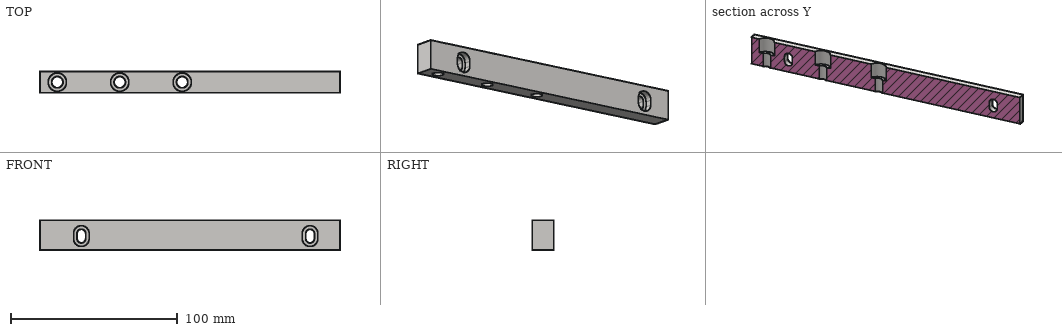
import cadquery as cq

length = 180.0
width = 13.0
height = 18.0

hole_diameter = 6.7
counterbore_diameter = 11.0
counterbore_depth = 9.0
first_hole_x = 10.5
hole_spacing = 37.5
hole_count = 3

slot_width = 5.0
slot_height = 8.1
slot_rim = 2.2
slot_recess_depth = 4.7
slot_positions_x = (24.8, 162.0)
slot_center_z = 8.5


def upright_slot(x, slot_w, slot_h, depth):
    """Rounded slot standing along Z, running from the front face into the bar."""
    return (
        cq.Workplane("XZ")
        .center(x, slot_center_z)
        .slot2D(slot_h, slot_w, 90)
        .extrude(-depth)
    )


def stepped_slot(x):
    """Through slot with a wider recess of the same form at the front face."""
    recess_width = slot_width + 2 * slot_rim
    recess_height = slot_height + 2 * slot_rim
    through = upright_slot(x, slot_width, slot_height, width)
    recess = upright_slot(x, recess_width, recess_height, slot_recess_depth)
    return through.union(recess)


bar = cq.Workplane("XY").box(length, width, height, centered=False)

hole_centers = [(first_hole_x + i * hole_spacing, width / 2) for i in range(hole_count)]
result = (
    bar.faces(">Z")
    .workplane(origin=(0, 0, height))
    .pushPoints(hole_centers)
    .cboreHole(hole_diameter, counterbore_diameter, counterbore_depth)
)

for slot_x in slot_positions_x:
    result = result.cut(stepped_slot(slot_x))